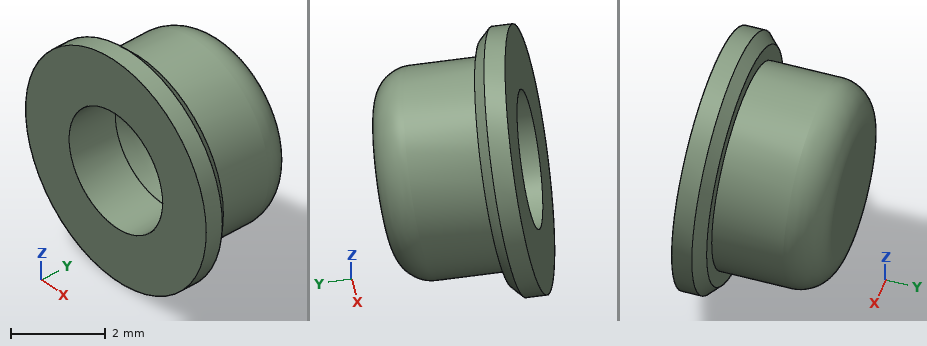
import cadquery as cq

flange_diameter = 5.8
total_length = 3.1
flange_thickness = 0.7
flange_chamfer = 0.25
body_diameter = 4.6
nose_radius = 0.8

bore_diameter = 3.0
bore_depth = 1.3
floor_diameter = 1.8
cone_depth = (bore_diameter - floor_diameter) / 2


def cylinder(diameter, length):
    """Cylinder starting at the flange face and running along +Y."""
    return cq.Workplane("XZ").circle(diameter / 2).extrude(-length)


def make_flange():
    return cylinder(flange_diameter, flange_thickness).faces(">Y").chamfer(flange_chamfer)


def make_body():
    return cylinder(body_diameter, total_length).faces(">Y").edges().fillet(nose_radius)


def make_recess():
    """Half profile of the recess, (radius, Y), revolved about the Y axis."""
    floor_y = bore_depth + cone_depth
    return (
        cq.Workplane("XY")
        .lineTo(bore_diameter / 2, 0)
        .lineTo(bore_diameter / 2, bore_depth)
        .lineTo(floor_diameter / 2, floor_y)
        .lineTo(0, floor_y)
        .close()
        .revolve(360, (0, 0, 0), (0, 1, 0))
    )


result = make_flange().union(make_body()).cut(make_recess())